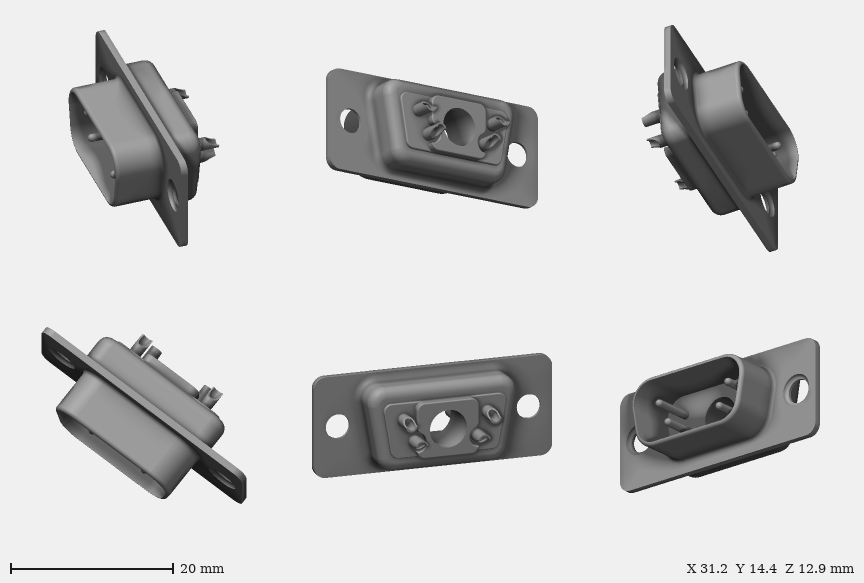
import cadquery as cq
import math


flange_width = 31.2
flange_height = 12.95
flange_thickness = 0.87
flange_corner = 1.5
mount_hole_spacing = 25.0
mount_hole_diameter = 3.12
mount_hole_rounding = 0.5

side_angle = math.radians(10)

shell_depth = 6.08
shell_height = 9.3
shell_corner = 3.12
shell_corner_spacing = 11.6
shell_wall = 0.5
shell_rim_rounding = 0.47
shell_root_fillet = 0.45
shell_floor = 0.5

housing_depth = 4.12
housing_height = 10.85
housing_corner = 2.0
housing_corner_spacing = 15.35
housing_rounding = 1.25
housing_root_fillet = 0.8

insert_thickness = 0.37
insert_height = 7.1
insert_corner = 1.0
insert_corner_spacing = 14.05
block_height = 1.4
block_corner_spacing = 6.08
insert_rounding = 0.15
notch_radius = 1.25
notch_edge_rounding = 0.95
center_hole_diameter = 4.85

upper_pin_x = 5.5
lower_pin_x = 4.1
pin_z = 1.45
pin_diameter = 1.0
pin_tip_y = -5.15
cup_diameter = 1.6
cup_length = 3.35
cup_bore_diameter = 1.2
cup_bore_depth = 2.18
scoop_length = 1.62
scoop_end_offset = 0.15
scoop_radius = 2.35

flange_back = flange_thickness
housing_back = flange_back + housing_depth
insert_back = housing_back + insert_thickness
block_back = housing_back + block_height
cup_back = housing_back + cup_length


def plane_at(y):
    """Sketch plane at position y, with local x = X, local y = Z and normal -Y."""
    return cq.Workplane("XZ", origin=(0, y, 0))


def d_prism(height, corner, corner_spacing, y_start, y_end):
    """Prism with a D-shaped section, wider at +Z; corner_spacing joins the two upper corner centres."""
    half = height / 2
    touch_x = corner_spacing / 2 + corner * math.cos(side_angle)
    touch_z = half - corner * (1 + math.sin(side_angle))
    top_x = touch_x + (half - touch_z) * math.tan(side_angle)
    bottom_x = touch_x - (half + touch_z) * math.tan(side_angle)
    outline = [(-top_x, half), (top_x, half), (bottom_x, -half), (-bottom_x, -half)]
    prism = plane_at(y_end).polyline(outline).close().extrude(y_end - y_start)
    return prism.edges("|Y").fillet(corner)


def flange():
    plate = plane_at(flange_back).rect(flange_width, flange_height).extrude(flange_thickness)
    return plate.edges("|Y").fillet(flange_corner)


def rear_housing():
    housing = d_prism(housing_height, housing_corner, housing_corner_spacing, flange_back, housing_back)
    return housing.faces(">Y").edges().fillet(housing_rounding)


def front_shell():
    shell = d_prism(shell_height, shell_corner, shell_corner_spacing, -shell_depth, 0)
    return shell.faces("<Y").edges().fillet(shell_rim_rounding)


def shell_cavity():
    cavity_height = shell_height - 2 * shell_wall
    cavity_corner = shell_corner - shell_wall
    return d_prism(cavity_height, cavity_corner, shell_corner_spacing, -shell_depth, shell_floor)


def root_edges(body, y):
    """Edges in the plane at y around the foot of a D-shaped body, clear of the flange outline."""
    half_width = mount_hole_spacing / 2
    half_height = (housing_height + flange_height) / 4
    tolerance = 0.03
    slab = cq.selectors.BoxSelector(
        (-half_width, y - tolerance, -half_height),
        (half_width, y + tolerance, half_height),
    )
    return body.faces("|Y").edges(slab)


def mount_holes():
    """Cutters for the two mounting holes, each rounded at its front mouth."""
    radius = mount_hole_diameter / 2
    mouth = radius + mount_hole_rounding
    profile = (
        cq.Workplane("XY")
        .moveTo(0, 0)
        .lineTo(mouth, 0)
        .radiusArc((radius, mount_hole_rounding), -mount_hole_rounding)
        .lineTo(radius, flange_back)
        .lineTo(0, flange_back)
        .close()
    )
    drill = profile.revolve(360, (0, 0, 0), (0, 1, 0))
    offset = mount_hole_spacing / 2
    return drill.translate((-offset, 0, 0)).union(drill.translate((offset, 0, 0)))


def insert_plate():
    plate = d_prism(insert_height, insert_corner, insert_corner_spacing, housing_back, insert_back)
    return plate.faces(">Y").edges().fillet(insert_rounding)


def insert_block():
    """Raised block, notched around the two lower solder cups."""
    width = block_corner_spacing + 2 * insert_corner
    block = plane_at(block_back).rect(width, insert_height).extrude(block_height)
    block = block.edges("|Y").fillet(insert_corner)
    notches = plane_at(block_back).pushPoints([(-lower_pin_x, -pin_z), (lower_pin_x, -pin_z)])
    block = block.cut(notches.circle(notch_radius).extrude(block_height))
    notch_top = cq.selectors.BoxSelector((-width, housing_back, -pin_z), (width, block_back, insert_corner))
    block = block.edges("|Y").edges(notch_top).fillet(notch_edge_rounding)
    return block.faces(">Y").edges().fillet(insert_rounding)


def pin():
    """Contact on the Y axis: domed tip in front, solder cup at the rear opened towards +Z."""
    cup_radius = cup_diameter / 2
    pin_radius = pin_diameter / 2
    dome_center_y = pin_tip_y + pin_radius
    contact = plane_at(flange_back).circle(pin_radius).extrude(flange_back - dome_center_y)
    contact = contact.union(plane_at(dome_center_y).sphere(pin_radius))
    cup = plane_at(cup_back).circle(cup_radius).extrude(cup_length)
    bore = plane_at(cup_back).circle(cup_bore_diameter / 2).extrude(cup_bore_depth)
    scoop = (
        cq.Workplane("YZ", origin=(-cup_radius, 0, 0))
        .moveTo(cup_back, -scoop_end_offset)
        .radiusArc((cup_back - scoop_length, cup_radius), scoop_radius)
        .lineTo(cup_back, cup_radius)
        .close()
        .extrude(cup_diameter)
    )
    return contact.union(cup.cut(bore).cut(scoop))


metal_body = flange().union(rear_housing()).union(front_shell())
metal_body = root_edges(metal_body, 0).fillet(shell_root_fillet)
metal_body = root_edges(metal_body, flange_back).fillet(housing_root_fillet)
metal_body = metal_body.cut(mount_holes()).cut(shell_cavity())

center_hole = plane_at(block_back).circle(center_hole_diameter / 2).extrude(block_back)
result = metal_body.union(insert_plate()).union(insert_block()).cut(center_hole)

upper_pin = pin()
lower_pin = upper_pin.rotate((0, 0, 0), (0, 1, 0), 180)
for side in (-1, 1):
    result = result.union(upper_pin.translate((side * upper_pin_x, 0, pin_z)))
    result = result.union(lower_pin.translate((side * lower_pin_x, 0, -pin_z)))